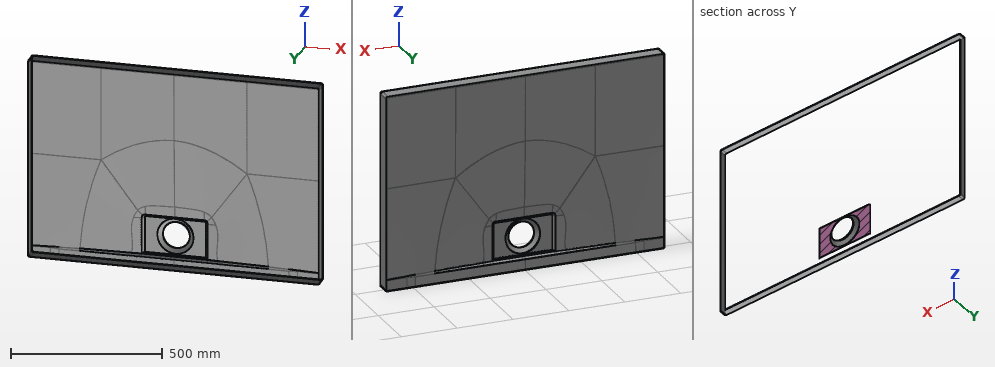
import math

import cadquery as cq


WIDTH = 1000.0
DEPTH = 48.0
LENGTH = 700.0
SHEET = 4.0
WALL = 3.0
CORNER_RADIUS = 8.0
RIM_RADIUS = 5.0

RIM_Y = DEPTH / 2 - SHEET
RIDGE_Y = 18.0
STEP_Y = 16.0
LEDGE_Y = 18.5
COLLAR_Y = 10.5
POCKET_RIM_Y = 8.0
POCKET_Y = -2.0

LEFT_X = -(WIDTH / 2 - RIM_RADIUS)
RIM_Z = LENGTH / 2 - RIM_RADIUS
CREASE_X = -250.0
CREASE_Z = 20.0
ARCH_Z = 113.0
SWEEP_X = -323.0
SWEEP_MIDDLE = (-298.0, -130.0)
ARCH_SHOULDERS = [(-141.0, 82.0), (-81.0, 102.0)]

FLOOR_EDGE_Z = -303.0
FLOOR_END_Z = -307.0
LEDGE_Z = -311.0
LEDGE_END_Z = -308.5
LEDGE_X = -394.0
LEDGE_RAMP_X = -424.0

POCKET_HALF_WIDTH = 113.0
POCKET_TOP_Z = -164.0
POCKET_DRAFT = 9.0
POCKET_FOOT_DRAFT = 3.0
POCKET_CORNER = 12.0
COLLAR_HALF_WIDTH = 148.0
COLLAR_TOP_Z = -125.0
COLLAR_SHOULDER_Z = -223.0

COLLAR_SIDE_END = (-141.0, -176.0)
COLLAR_CORNER = (-126.5, -150.0)
COLLAR_TOP_START = (-101.0, -133.5)
COLLAR_TOP_MIDDLE = (-58.0, -127.0)

FLANK_STATIONS = [0.0, 0.54, 0.84, 1.0]
CROWN_STATIONS = [0.0, 0.25, 0.55, 1.0]

DRAIN_Z = -235.0
DRAIN_RADIUS = 46.0
DRAIN_BASE_RADIUS = 62.0
DRAIN_HEIGHT = 14.0


def point(x, y, z):
    return cq.Vector(x, y, z)


def line(start, end):
    return cq.Edge.makeLine(start, end)


def curve(*points):
    return cq.Edge.makeSpline(list(points))


def thicken(face):
    """Give an underside face the sheet thickness, toward +Y."""
    return cq.Solid.extrudeLinear(face, cq.Vector(0, SHEET, 0))


def sheet(first_edge, second_edge):
    """Sheet patch ruled between two edges that run the same way."""
    return thicken(cq.Face.makeRuledSurface(first_edge, second_edge))


def envelope():
    """Outer block with rounded wall corners and a rounded rim on the +Y side."""
    block = cq.Workplane("XY").box(WIDTH, DEPTH, LENGTH)
    return block.edges("|Y").fillet(CORNER_RADIUS).faces(">Y").edges().fillet(RIM_RADIUS)


def walls():
    """Side walls, plus the flat border of the floor next to them."""
    outer = cq.Workplane("XY").box(WIDTH, DEPTH, LENGTH)
    cavity = cq.Workplane("XY").box(WIDTH - 2 * WALL, DEPTH, LENGTH - 2 * WALL)
    cavity = cavity.edges("|Y").fillet(CORNER_RADIUS - WALL).translate((0, -SHEET, 0))
    opening = cq.Workplane("XY").box(-2 * LEFT_X, DEPTH, 2 * RIM_Z)
    return outer.cut(cavity).cut(opening).val()


def pocket_outline(y, inset, foot_z):
    """Edges of the left half of the pocket outline, from its foot to the centre line."""
    side_x = inset - POCKET_HALF_WIDTH
    top_z = POCKET_TOP_Z - inset
    radius = POCKET_CORNER - inset
    centre_x = side_x + radius
    centre_z = top_z - radius

    def on_arc(degrees):
        angle = math.radians(degrees)
        return point(centre_x - radius * math.cos(angle), y, centre_z + radius * math.sin(angle))

    foot = point(side_x, y, foot_z)
    return {
        "foot": line(point(0, y, foot_z), foot),
        "side": line(foot, on_arc(0)),
        "lower corner": cq.Edge.makeThreePointArc(on_arc(0), on_arc(22.5), on_arc(45)),
        "upper corner": cq.Edge.makeThreePointArc(on_arc(45), on_arc(67.5), on_arc(90)),
        "top": line(on_arc(90), point(0, y, top_z)),
    }


def collar_outline():
    """Left half of the collar outline: whole curves for the floor, their pieces for the collar."""
    corner = COLLAR_CORNER
    flank_points = [
        (-COLLAR_HALF_WIDTH, FLOOR_EDGE_Z),
        (-COLLAR_HALF_WIDTH, COLLAR_SHOULDER_Z),
        COLLAR_SIDE_END,
        corner,
    ]
    crown_points = [corner, COLLAR_TOP_START, COLLAR_TOP_MIDDLE, (0, COLLAR_TOP_Z)]

    def collar_curve(points, stations):
        return cq.Edge.makeSpline([point(x, COLLAR_Y, z) for x, z in points], parameters=stations)

    flank = collar_curve(flank_points, FLANK_STATIONS)
    crown = collar_curve(crown_points, CROWN_STATIONS)
    pieces = {
        "side": flank.trim(FLANK_STATIONS[0], FLANK_STATIONS[2]),
        "lower corner": flank.trim(FLANK_STATIONS[2], FLANK_STATIONS[3]),
        "upper corner": crown.trim(CROWN_STATIONS[0], CROWN_STATIONS[1]),
        "top": crown.trim(CROWN_STATIONS[1], CROWN_STATIONS[3]),
    }
    return flank, crown, pieces


def floor_patches(flank, crown):
    """Sloping patches between the rim and the collar."""
    crease = point(CREASE_X, RIDGE_Y, CREASE_Z)
    arch_top = point(0, RIDGE_Y, ARCH_Z)
    rim_side = point(LEFT_X, RIM_Y, CREASE_Z)
    rim_crease = point(CREASE_X, RIM_Y, RIM_Z)
    sweep_foot = point(SWEEP_X, STEP_Y, FLOOR_EDGE_Z)
    arch = curve(crease, *[point(x, RIDGE_Y, z) for x, z in ARCH_SHOULDERS], arch_top)
    sweep_x, sweep_z = SWEEP_MIDDLE
    sweep = curve(sweep_foot, point(sweep_x, (RIDGE_Y + STEP_Y) / 2, sweep_z), crease)
    return [
        sheet(line(point(LEFT_X, RIM_Y, RIM_Z), rim_crease), line(rim_side, crease)),
        sheet(line(rim_crease, point(0, RIM_Y, RIM_Z)), arch),
        sheet(line(point(LEFT_X, RIM_Y, FLOOR_END_Z), rim_side), sweep),
        sheet(sweep, flank),
        sheet(arch, crown),
    ]


def step_and_ledge_patches():
    """Step below the floor edge, and the ledge between the step and the lower wall."""
    ledge_share = (LEDGE_X - LEFT_X) / (SWEEP_X - LEFT_X)
    ramp_share = (LEDGE_RAMP_X - LEFT_X) / (SWEEP_X - LEFT_X)
    floor_end = point(LEFT_X, RIM_Y, FLOOR_END_Z)
    sweep_foot = point(SWEEP_X, STEP_Y, FLOOR_EDGE_Z)
    floor_edge = [
        floor_end,
        floor_end + (sweep_foot - floor_end) * ramp_share,
        floor_end + (sweep_foot - floor_end) * ledge_share,
        sweep_foot,
        point(-COLLAR_HALF_WIDTH, COLLAR_Y, FLOOR_EDGE_Z),
        point(-POCKET_HALF_WIDTH, POCKET_RIM_Y, FLOOR_EDGE_Z),
        point(0, POCKET_RIM_Y, FLOOR_EDGE_Z),
    ]
    ledge_edge = [
        point(LEFT_X, RIM_Y, LEDGE_END_Z),
        point(LEDGE_RAMP_X, RIM_Y, LEDGE_END_Z),
    ]
    for upper in floor_edge[2:]:
        ledge_edge.append(point(upper.x, LEDGE_Y, LEDGE_Z))

    patches = []
    for i in range(len(floor_edge) - 1):
        step_top = line(floor_edge[i], floor_edge[i + 1])
        step_foot = line(ledge_edge[i], ledge_edge[i + 1])
        patches.append(sheet(step_top, step_foot))

    ledge_breaks = [ledge_edge[0], ledge_edge[1], ledge_edge[2], ledge_edge[-1]]
    for start, end in zip(ledge_breaks, ledge_breaks[1:]):
        wall_foot = line(point(start.x, RIM_Y, -RIM_Z), point(end.x, RIM_Y, -RIM_Z))
        patches.append(sheet(line(start, end), wall_foot))
    return patches


def pocket_patches(collar_pieces):
    """Collar around the drain pocket, the drafted pocket sides and the pocket plate."""
    rim = pocket_outline(POCKET_RIM_Y, 0, FLOOR_EDGE_Z)
    plate = pocket_outline(POCKET_Y, POCKET_DRAFT, FLOOR_EDGE_Z + POCKET_FOOT_DRAFT)
    patches = [sheet(collar_pieces[name], rim[name]) for name in collar_pieces]
    patches += [sheet(rim[name], plate[name]) for name in rim]

    centre_line = line(plate["top"].endPoint(), plate["foot"].startPoint())
    plate_outline = cq.Wire.assembleEdges([*plate.values(), centre_line])
    patches.append(thicken(cq.Face.makeFromWires(plate_outline)))
    return patches


def drain_outlet():
    """Conical collar around the drain hole, revolved about the hole axis."""
    tip_y = POCKET_Y - DRAIN_HEIGHT
    profile = cq.Workplane("XY").polyline(
        [
            (DRAIN_BASE_RADIUS, POCKET_Y),
            (DRAIN_RADIUS, tip_y),
            (DRAIN_RADIUS, tip_y + SHEET),
            (DRAIN_BASE_RADIUS, POCKET_Y + SHEET),
        ]
    )
    cone = profile.close().revolve(360, (0, 0, 0), (0, 1, 0))
    return cone.translate((0, 0, DRAIN_Z)).val()


def drain_opening():
    """Cylinder that clears the pocket plate inside the conical outlet."""
    drill = cq.Workplane("XZ").circle(DRAIN_BASE_RADIUS).extrude(DEPTH / 2, both=True)
    return drill.translate((0, 0, DRAIN_Z)).val()


flank_curve, crown_curve, collar_edges = collar_outline()
left_half = [
    *floor_patches(flank_curve, crown_curve),
    *step_and_ledge_patches(),
    *pocket_patches(collar_edges),
]
right_half = [patch.mirror("YZ") for patch in left_half]
floor = left_half[0].fuse(*left_half[1:], *right_half).cut(drain_opening())
tray = floor.fuse(walls(), drain_outlet()).intersect(envelope().val())
result = cq.Workplane("XY").newObject(tray.Solids())